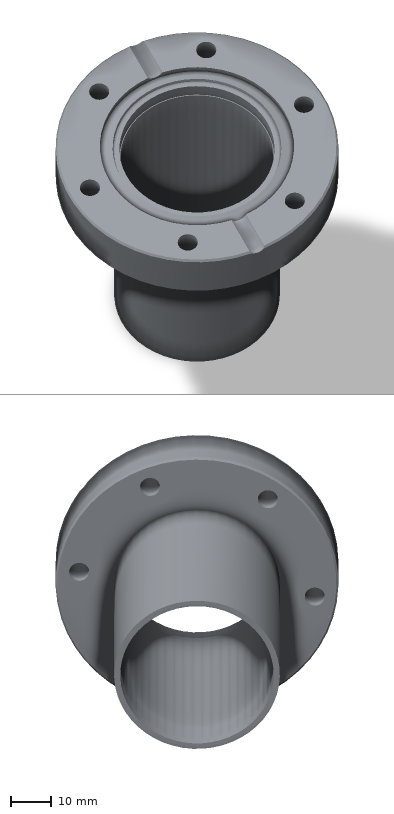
import cadquery as cq
import math

total_height = 63.0
flange_diameter = 70.0
flange_thickness = 13.0
edge_chamfer = 0.5

recess_diameter = 48.1
seat_diameter = 48.9
knife_diameter = 41.8
shelf_diameter = 41.4
knife_crest_depth = 0.55
cone_angle = 20.0
shelf_depth = 1.3

tube_diameter = 41.0
tube_bore = 38.0
insert_bore = 38.4
tube_end_depth = 4.9

bolt_count = 6
bolt_circle_diameter = 58.7
bolt_hole_diameter = 5.0
groove_width = 4.0
groove_depth = 1.05

flange_bottom = total_height - flange_thickness
tube_top = total_height - tube_end_depth
knife_crest_z = total_height - knife_crest_depth
shelf_z = total_height - shelf_depth
cone_drop = (recess_diameter - knife_diameter) / 2 * math.tan(math.radians(cone_angle))
insert_rim_z = knife_crest_z - cone_drop


def cylinder(diameter, bottom, top):
    """Upright cylinder on the Z axis between two heights."""
    return cq.Workplane("XY").workplane(offset=bottom).circle(diameter / 2).extrude(top - bottom)


def leak_groove():
    """Round-bottomed groove across the whole flange face along X."""
    radius = ((groove_width / 2) ** 2 + groove_depth ** 2) / (2 * groove_depth)
    center_z = total_height - groove_depth + radius
    return (
        cq.Workplane("YZ")
        .center(0, center_z)
        .circle(radius)
        .extrude(flange_diameter / 2, both=True)
    )


def make_flange_ring():
    """Bolt ring whose seat holds the insert under an inner lip."""
    ring = cylinder(flange_diameter, flange_bottom, total_height)
    ring = ring.faces("<Z or >Z").edges().chamfer(edge_chamfer)
    ring = ring.cut(cylinder(recess_diameter, flange_bottom, total_height))
    ring = ring.cut(cylinder(seat_diameter, flange_bottom, insert_rim_z))
    bolt_holes = (
        cq.Workplane("XY")
        .workplane(offset=flange_bottom)
        .polarArray(bolt_circle_diameter / 2, 90, 360, bolt_count)
        .circle(bolt_hole_diameter / 2)
        .extrude(flange_thickness)
    )
    return ring.cut(bolt_holes).cut(leak_groove())


def make_insert():
    """Sealing insert with a knife edge, seated on the end of the tube."""
    profile = [
        (tube_diameter / 2, flange_bottom),
        (seat_diameter / 2, flange_bottom),
        (seat_diameter / 2, insert_rim_z),
        (recess_diameter / 2, insert_rim_z),
        (knife_diameter / 2, knife_crest_z),
        (shelf_diameter / 2, shelf_z),
        (insert_bore / 2, shelf_z),
        (insert_bore / 2, tube_top),
        (tube_diameter / 2, tube_top),
    ]
    return cq.Workplane("XZ").polyline(profile).close().revolve(360, (0, 0), (0, 1))


def make_tube():
    """Plain tube reaching up into the insert."""
    return cylinder(tube_diameter, 0, tube_top).cut(cylinder(tube_bore, 0, tube_top))


flange_ring = make_flange_ring()
insert = make_insert()
tube = make_tube()

result = cq.Compound.makeCompound([flange_ring.val(), insert.val(), tube.val()])